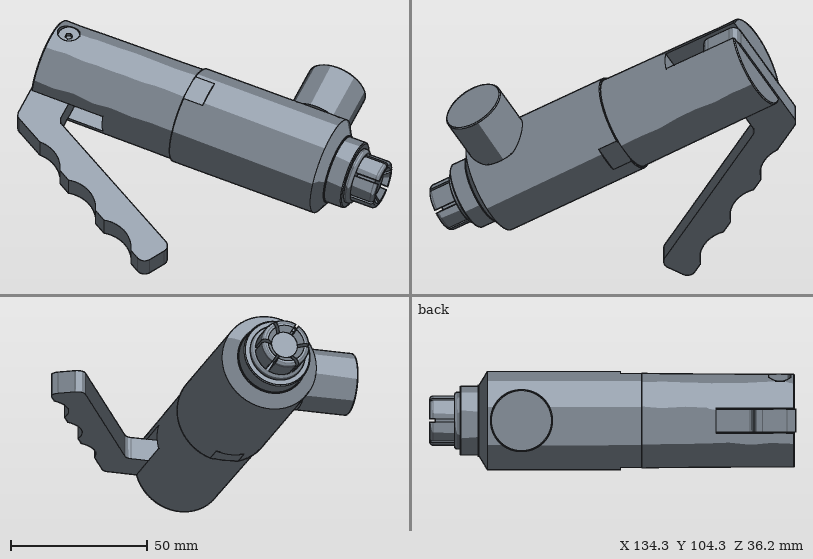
import cadquery as cq
import math


barrel_rear = 0.4
barrel_front = 56.4
cone_start = 113.2
cone_end = 116.2
collar_start = 116.6
collar_front = 123.3
shoulder_front = 125.3
nose_front = 134.32

barrel_rear_diameter = 34.2
barrel_front_diameter = 34.87
body_diameter = 36.2
cone_end_diameter = 26.2
collar_diameter = 25.4
shoulder_diameter = 21.0
nose_diameter = 18.1

barrel_chamfer = 0.4
body_rear_chamfer = 0.3
collar_chamfer = 0.4
shoulder_round = 1.3
nose_end_diameter = 15.71
nose_round = (nose_diameter - nose_end_diameter) / 2

nose_slot_count = 6
nose_slot_width = 1.2
nose_slot_root_diameter = 9.9
countersink_diameter = 13.89
countersink_depth = (countersink_diameter - nose_slot_root_diameter) / 2

flat_length = 7.9
flat_half_height = 17.29

port_diameter = 22.86
port_x = 100.65
port_base_y = 15.1
port_end_y = 34.59
port_chamfer = 0.4

handle_slot_width = 9.1
handle_slot_end = 29.2

pivot_x = 5.85
pivot_y = 5.0
pivot_pin_diameter = 4.83
pivot_bore_diameter = 4.98
head_diameter = 8.16
counterbore_diameter = 8.33
head_top_z = 14.3
counterbore_floor_z = 10.0
pin_bottom_z = -10.0
hex_across_corners = 2.75
hex_depth = 1.5

handle_thickness = 8.38
lever_slope = 30.0
arm_width = 15.3
arm_top_y = 15.3
arm_bottom_y = -28.94
lever_thickness = 12.75
lever_end = 95.7
lever_underside = 26.62
corner_radius = 3.175

scallop_count = 3
scallop_radius = 12.7
scallop_half_chord = 8.45
scallop_pitch = 22.23
first_scallop_u = 35.4
scallop_center_v = lever_underside + math.sqrt(scallop_radius**2 - scallop_half_chord**2)


def x_cylinder(diameter, x_start, x_end):
    """Cylinder on the housing axis between two X stations."""
    return cq.Workplane("YZ", origin=(x_start, 0, 0)).circle(diameter / 2).extrude(x_end - x_start)


def z_cylinder(diameter, z_bottom, z_top):
    """Cylinder on the pivot axis between two heights."""
    plane = cq.Workplane("XY", origin=(pivot_x, pivot_y, z_bottom))
    return plane.circle(diameter / 2).extrude(z_top - z_bottom)


def make_turned_body():
    """Tapered barrel, main body, cone and collar as one turned profile, then the rounded nose."""
    barrel_rear_radius = barrel_rear_diameter / 2
    body_radius = body_diameter / 2
    collar_radius = collar_diameter / 2
    turned = (
        cq.Workplane("XY")
        .moveTo(barrel_rear, 0)
        .lineTo(barrel_rear, barrel_rear_radius - barrel_chamfer)
        .lineTo(barrel_rear + barrel_chamfer, barrel_rear_radius)
        .lineTo(barrel_front, barrel_front_diameter / 2)
        .lineTo(barrel_front, body_radius - body_rear_chamfer)
        .lineTo(barrel_front + body_rear_chamfer, body_radius)
        .lineTo(cone_start, body_radius)
        .lineTo(cone_end, cone_end_diameter / 2)
        .lineTo(collar_start, cone_end_diameter / 2)
        .lineTo(collar_start, collar_radius)
        .lineTo(collar_front - collar_chamfer, collar_radius)
        .lineTo(collar_front, collar_radius - collar_chamfer)
        .lineTo(collar_front, 0)
        .close()
        .revolve(360, (0, 0, 0), (1, 0, 0))
    )
    shoulder = x_cylinder(shoulder_diameter, collar_front, shoulder_front)
    shoulder = shoulder.faces(">X").edges().fillet(shoulder_round)
    return turned.union(shoulder).union(make_nose())


def make_nose():
    """Nose with a rounded end, a countersunk mouth and evenly spaced lengthwise slots."""
    nose = x_cylinder(nose_diameter, collar_front, nose_front)
    nose = nose.faces(">X").edges().fillet(nose_round)
    countersink = (
        cq.Workplane("XY")
        .moveTo(nose_front - countersink_depth, 0)
        .lineTo(nose_front - countersink_depth, nose_slot_root_diameter / 2)
        .lineTo(nose_front, countersink_diameter / 2)
        .lineTo(nose_front, 0)
        .close()
        .revolve(360, (0, 0, 0), (1, 0, 0))
    )
    nose = nose.cut(countersink)
    slot = cq.Workplane("XY").box(
        nose_front - shoulder_front,
        nose_diameter,
        nose_slot_width,
        centered=(False, False, True),
    ).translate((shoulder_front, nose_slot_root_diameter / 2, 0))
    for index in range(nose_slot_count):
        nose = nose.cut(slot.rotate((0, 0, 0), (1, 0, 0), index * 360 / nose_slot_count))
    return nose


def make_side_port():
    """Flat-based round port standing on the +Y side of the body."""
    plane = cq.Workplane("XZ", origin=(port_x, port_base_y, 0))
    port = plane.circle(port_diameter / 2).extrude(port_base_y - port_end_y)
    return port.faces(">Y").edges().chamfer(port_chamfer)


def cut_wrench_flats(body):
    """Flats on the top and bottom of the main body, open toward the barrel."""
    cutter = cq.Workplane("XY").box(
        flat_length, body_diameter, body_diameter, centered=(False, True, False)
    )
    upper = cutter.translate((barrel_front, 0, flat_half_height))
    lower = upper.mirror("XY")
    return body.cut(upper).cut(lower)


def cut_handle_slot(body):
    """Slot through the barrel in Y, open at the rear end."""
    slot = cq.Workplane("XY").box(
        handle_slot_end, body_diameter, handle_slot_width, centered=(False, True, True)
    )
    return body.cut(slot)


def add_pivot_screw(body):
    """Counterbored screw whose pin spans the handle slot."""
    counterbore = z_cylinder(counterbore_diameter, counterbore_floor_z, body_diameter)
    head = z_cylinder(head_diameter, counterbore_floor_z, head_top_z)
    pin = z_cylinder(pivot_pin_diameter, pin_bottom_z, counterbore_floor_z)
    socket = (
        cq.Workplane("XY", origin=(pivot_x, pivot_y, head_top_z))
        .transformed(rotate=(0, 0, 90))
        .polygon(6, hex_across_corners)
        .extrude(-hex_depth)
    )
    return body.cut(counterbore).union(head).union(pin).cut(socket)


def lever_point(u, v):
    """Point at distance u along the lever and v below the line through the origin at its slope."""
    slope = math.radians(lever_slope)
    return (
        u * math.cos(slope) - v * math.sin(slope),
        -u * math.sin(slope) - v * math.cos(slope),
    )


def make_handle():
    """Bent lever: upright arm in the slot, sloping grip with finger scallops, pivot hole."""
    slope = math.radians(lever_slope)
    lever_top = lever_underside - lever_thickness
    elbow_y = -lever_top / math.cos(slope) - arm_width * math.tan(slope)
    arm_edge_v = -arm_bottom_y * math.cos(slope)
    plane = cq.Workplane("XY", origin=(0, 0, -handle_thickness / 2))
    outline = [
        (0, arm_top_y),
        (arm_width, arm_top_y),
        (arm_width, elbow_y),
        lever_point(lever_end, lever_top),
        lever_point(lever_end, lever_underside),
        lever_point(first_scallop_u, lever_underside),
        lever_point(first_scallop_u, arm_edge_v),
        (0, arm_bottom_y),
    ]
    handle = plane.polyline(outline).close().extrude(handle_thickness)
    sharp_corners = outline[:5] + outline[7:]
    for x, y in sharp_corners:
        corner = cq.selectors.NearestToPointSelector((x, y, 0))
        handle = handle.edges("|Z").edges(corner).fillet(corner_radius)

    for index in range(scallop_count):
        center = lever_point(first_scallop_u + index * scallop_pitch, scallop_center_v)
        scallop = plane.center(*center).circle(scallop_radius).extrude(handle_thickness)
        handle = handle.cut(scallop)

    return handle.cut(z_cylinder(pivot_bore_diameter, -handle_thickness, handle_thickness))


housing = make_turned_body().union(make_side_port())
housing = cut_wrench_flats(housing)
housing = cut_handle_slot(housing)
housing = add_pivot_screw(housing)
handle = make_handle()

result = cq.Compound.makeCompound([housing.val(), handle.val()])